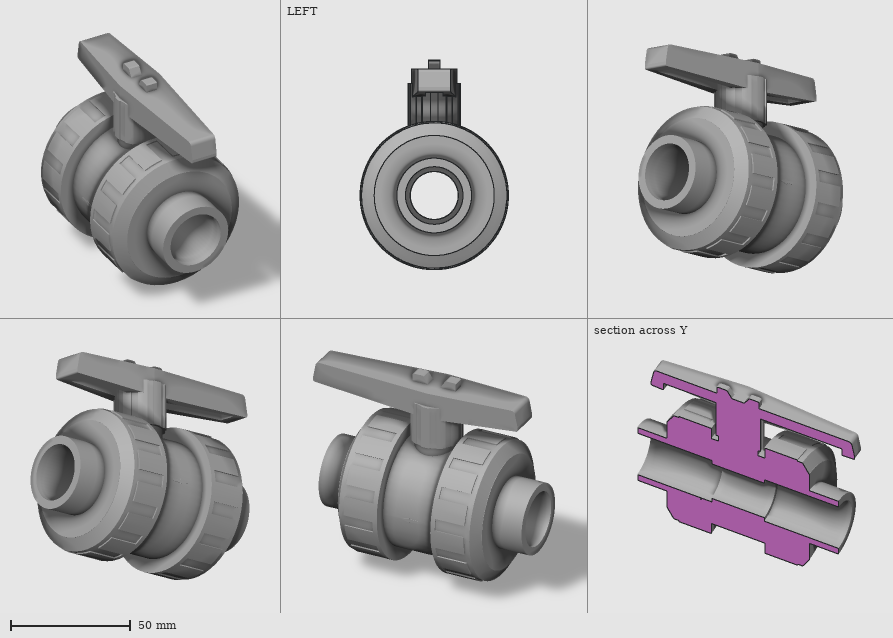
import cadquery as cq


body_diameter = 50.2
body_gap = 25.0
pipe_diameter = 31.3
pipe_length = 94.9
socket_diameter = 24.1
port_diameter = 20.0
socket_depth = (pipe_length - body_gap) / 2

nut_diameter = 62.0
nut_collar_diameter = 60.8
nut_face_diameter = 49.8
nut_inner_x = body_gap / 2
nut_collar_x = 28.1
nut_bevel_x = 30.4
nut_face_x = 33.7
recess_count = 14
recess_width = 5.2
recess_length = 13.5
recess_pitch = 360 / recess_count
recess_start_angle = 7.8

arrow_height = 0.2
arrow_length = 8.2
arrow_head_length = 4.1
arrow_shaft_width = 1.1
arrow_head_width = 2.3

stem_diameter = 19.0
hub_diameter = 22.1
hub_bottom_z = 27.8
hub_top_z = 46.8
flute_count = 10
flute_width = 3.0
flute_depth = 0.5

ridge_x = -0.3
ridge_half_width = 9.5
handle_left_x = -41.2
handle_right_x = 55.0
taper_slope = 0.068
handle_top_z = 52.9
handle_end_z = 43.4
handle_ridge_z = 40.9
end_upright_z = 45.2
end_lean = 1.5
end_top_radius = 1.8
end_bottom_radius = 0.7
channel_width = 7.3
channel_end_wall = 6.2

tab_width = 4.9
tab_height = 3.7
tab_outer_x = 10.0
tab_inner_x = 2.9
tab_slope_run = 2.2
tab_bevel_length = 0.6
tab_bevel_drop = 0.3


def x_cylinder(diameter, start_x, length):
    return cq.Workplane("YZ", origin=(start_x, 0, 0)).circle(diameter / 2).extrude(length)


def make_nut():
    """Union nut on the -X side, with grip recesses open towards its outer end."""
    profile = [
        (-nut_inner_x, 0),
        (-nut_inner_x, nut_diameter / 2),
        (-nut_collar_x, nut_diameter / 2),
        (-nut_collar_x, nut_collar_diameter / 2),
        (-nut_bevel_x, nut_collar_diameter / 2),
        (-nut_face_x, nut_face_diameter / 2),
        (-nut_face_x, 0),
    ]
    nut = cq.Workplane("XY").polyline(profile).close().revolve(360, (0, 0, 0), (1, 0, 0))

    bars = cq.Workplane("XY")
    for index in range(recess_count):
        bar = cq.Workplane("XY").box(
            recess_length, nut_diameter, recess_width, centered=(False, False, True)
        )
        angle = recess_start_angle + index * recess_pitch
        bars = bars.add(bar.translate((-nut_collar_x, 0, 0)).rotate((0, 0, 0), (1, 0, 0), angle))
    floor = x_cylinder(nut_collar_diameter, -nut_collar_x, recess_length)
    return nut.cut(bars.combine().cut(floor))


def make_arrows():
    """Raised arrows pointing along +X on the -Y and +Y sides of the body."""
    tip_x = arrow_length / 2
    neck_x = tip_x - arrow_head_length
    outline = [
        (-tip_x, -arrow_shaft_width / 2),
        (neck_x, -arrow_shaft_width / 2),
        (neck_x, -arrow_head_width / 2),
        (tip_x, 0),
        (neck_x, arrow_head_width / 2),
        (neck_x, arrow_shaft_width / 2),
        (-tip_x, arrow_shaft_width / 2),
    ]
    bar = cq.Workplane("XZ").polyline(outline).close().extrude(body_diameter, both=True)
    return bar.intersect(x_cylinder(body_diameter + 2 * arrow_height, -tip_x, arrow_length))


def make_hub():
    """Stem with the fluted hub above it."""
    stem = cq.Workplane("XY").circle(stem_diameter / 2).extrude(hub_top_z)
    hub_height = hub_top_z - hub_bottom_z
    hub = cq.Workplane("XY", origin=(0, 0, hub_bottom_z)).circle(hub_diameter / 2).extrude(hub_height)
    flutes = (
        cq.Workplane("XY", origin=(0, 0, hub_bottom_z))
        .polarArray(hub_diameter / 2, 0, 360, flute_count)
        .rect(2 * flute_depth, flute_width)
        .extrude(hub_height)
    )
    return stem.union(hub.cut(flutes))


def handle_half_width(x):
    return ridge_half_width - taper_slope * abs(x - ridge_x)


def make_handle():
    side_outline = [
        (handle_left_x, handle_end_z),
        (ridge_x, handle_ridge_z),
        (handle_right_x, handle_end_z),
        (handle_right_x, end_upright_z),
        (handle_right_x - end_lean, handle_top_z),
        (handle_left_x + end_lean, handle_top_z),
        (handle_left_x, end_upright_z),
    ]
    bar = cq.Workplane("XZ").polyline(side_outline).close().extrude(2 * ridge_half_width, both=True)
    bar = bar.faces(">Z").edges("|Y").fillet(end_top_radius)
    bar = bar.faces("<X or >X").edges("<Z").fillet(end_bottom_radius)

    left_half_width = handle_half_width(handle_left_x)
    right_half_width = handle_half_width(handle_right_x)
    plan_outline = [
        (handle_left_x, -left_half_width),
        (ridge_x, -ridge_half_width),
        (handle_right_x, -right_half_width),
        (handle_right_x, right_half_width),
        (ridge_x, ridge_half_width),
        (handle_left_x, left_half_width),
    ]
    plan = cq.Workplane("XY").polyline(plan_outline).close().extrude(handle_top_z)

    channel_length = handle_right_x - handle_left_x - 2 * channel_end_wall
    channel = (
        cq.Workplane("XY")
        .box(channel_length, channel_width, hub_top_z, centered=(False, True, False))
        .translate((handle_left_x + channel_end_wall, 0, 0))
    )
    return bar.intersect(plan).cut(channel)


def make_tab():
    """Pointer tab on the +X side; its inner flank slopes, its top edges are bevelled."""
    top_z = handle_top_z + tab_height
    shoulder_z = top_z - tab_bevel_drop
    shoulder_x = tab_inner_x + tab_slope_run
    outline = [
        (tab_inner_x, handle_top_z),
        (shoulder_x, shoulder_z),
        (shoulder_x + tab_bevel_length, top_z),
        (tab_outer_x - tab_bevel_length, top_z),
        (tab_outer_x, shoulder_z),
        (tab_outer_x, handle_top_z),
    ]
    return cq.Workplane("XZ").polyline(outline).close().extrude(tab_width / 2, both=True)


def half_turn(shape):
    return shape.rotate((0, 0, 0), (0, 0, 1), 180)


nut = make_nut()
tab = make_tab()
valve = (
    x_cylinder(pipe_diameter, -pipe_length / 2, pipe_length)
    .union(x_cylinder(body_diameter, -nut_face_x, 2 * nut_face_x))
    .union(nut)
    .union(half_turn(nut))
    .union(make_arrows())
    .union(make_hub())
    .union(make_handle())
    .union(tab)
    .union(half_turn(tab))
)

valve = valve.cut(x_cylinder(port_diameter, -pipe_length / 2, pipe_length))
valve = valve.cut(x_cylinder(socket_diameter, -pipe_length / 2, socket_depth))
valve = valve.cut(x_cylinder(socket_diameter, pipe_length / 2 - socket_depth, socket_depth))

result = valve